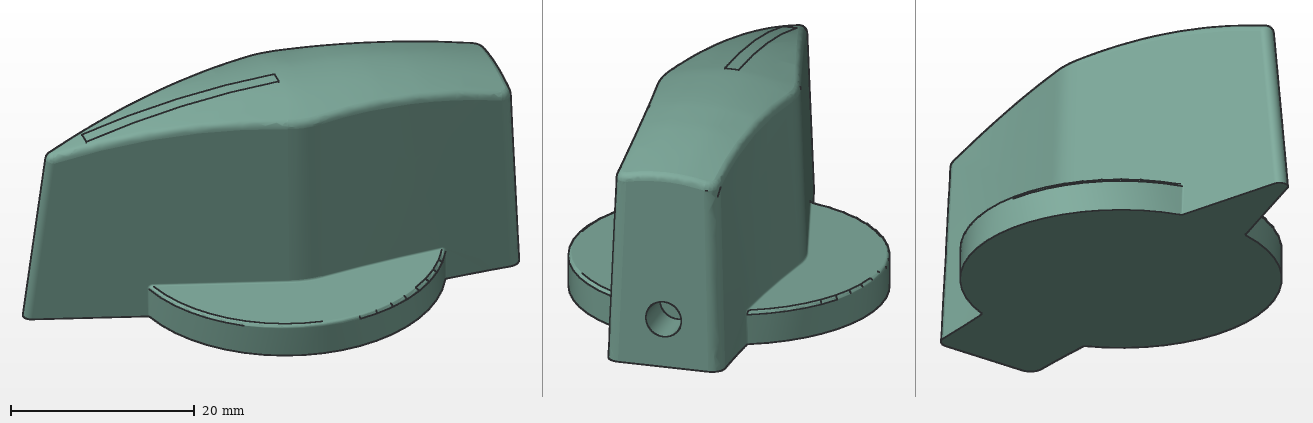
import cadquery as cq
import math

knob_height = 25.0
back_y = 25.05
tip_y = -30.0

disc_diameter = 35.0
disc_height = 3.85
disc_rim_fillet = 0.4
disc_joint_fillet = 0.2

back_half_width = 6.6
shoulder_y = -0.35
side_draft_angle = 2.0
tip_half_angle = 15.3
tip_radius = 0.95
back_corner_radius = 1.5
shoulder_radius = 8.8
top_edge_fillet = 0.95
blank_height = knob_height + 1.1

tip_slope = math.radians(tip_half_angle)
sharp_tip_y = tip_y - tip_radius * (1 / math.sin(tip_slope) - 1)
shoulder_half_width = (shoulder_y - sharp_tip_y) * math.tan(tip_slope)

crown_length_radius = 88.0
crown_cross_radius = 22.0
crown_peak_y = 1.75
crown_width = 22.0
crown_axis_z = knob_height - crown_length_radius

screw_hole_diameter = 4.0
screw_hole_z = 5.5
screw_hole_depth = 5.5

strip_width = 1.6
strip_back_y = -1.0
strip_length = 22.0
strip_depth = 0.55


def tapered_blank():
    """Sharp-cornered pointer, drafted on all sides and taller than the crown."""
    flare = shoulder_half_width - back_half_width
    run = back_y - shoulder_y
    flank_radius = (run**2 + flare**2) / (2 * flare)
    half_turn = math.asin(run / flank_radius) / 2
    mid_x = back_half_width + flank_radius * (1 - math.cos(half_turn))
    mid_y = back_y - flank_radius * math.sin(half_turn)
    return (
        cq.Workplane("XY")
        .moveTo(0, sharp_tip_y)
        .lineTo(shoulder_half_width, shoulder_y)
        .threePointArc((mid_x, mid_y), (back_half_width, back_y))
        .lineTo(-back_half_width, back_y)
        .threePointArc((-mid_x, mid_y), (-shoulder_half_width, shoulder_y))
        .close()
        .extrude(blank_height, taper=side_draft_angle)
    )


def rising_edges(solid, y):
    """Upright edges of the blank whose middle lies close to the given Y."""
    reach = 3.3
    low = (-crown_width, y - reach, blank_height * 0.4)
    high = (crown_width, y + reach, blank_height * 0.6)
    return solid.edges(cq.selectors.BoxSelector(low, high))


def crown():
    """Solid of revolution whose upper side is the doubly curved top surface."""
    half_width = crown_width / 2
    drop = crown_cross_radius - math.sqrt(crown_cross_radius**2 - half_width**2)
    return (
        cq.Workplane("XZ", origin=(0, crown_peak_y, 0))
        .moveTo(-half_width, crown_axis_z)
        .lineTo(-half_width, knob_height - drop)
        .threePointArc((0, knob_height), (half_width, knob_height - drop))
        .lineTo(half_width, crown_axis_z)
        .close()
        .revolve(360, (0, crown_axis_z, 0), (1, crown_axis_z, 0))
    )


def handle():
    """Drafted pointer with rounded corners and a crowned, rounded-over top."""
    pointer = tapered_blank()
    pointer = rising_edges(pointer, tip_y).fillet(tip_radius)
    pointer = rising_edges(pointer, shoulder_y).fillet(shoulder_radius)
    pointer = rising_edges(pointer, back_y).fillet(back_corner_radius)
    pointer = pointer.intersect(crown())
    return pointer.faces(">Z").edges().fillet(top_edge_fillet)


def disc():
    """Round base flange with a rounded upper rim."""
    return (
        cq.Workplane("XY")
        .circle(disc_diameter / 2)
        .extrude(disc_height)
        .faces(">Z")
        .edges()
        .fillet(disc_rim_fillet)
    )


def handle_on_disc():
    """Handle and disc in one piece, with a small fillet all along their joint."""
    joined = handle().union(disc())
    low = (-shoulder_half_width, -disc_diameter / 2, disc_height * 0.3)
    high = (shoulder_half_width, disc_diameter / 2, disc_height * 1.1)
    return joined.edges(cq.selectors.BoxSelector(low, high)).fillet(disc_joint_fillet)


def screw_hole():
    """Blind round bore running forward from the back face."""
    return (
        cq.Workplane("XZ", origin=(0, back_y, screw_hole_z))
        .circle(screw_hole_diameter / 2)
        .extrude(screw_hole_depth)
    )


def strip_seat():
    """Column over the strip's footprint, cut off at a floor parallel to the crown."""
    column = (
        cq.Workplane("XY")
        .center(0, strip_back_y - strip_length / 2)
        .rect(strip_width, strip_length)
        .extrude(blank_height)
    )
    return column.cut(crown().translate((0, 0, -strip_depth)))


def knob():
    """Main body: handle and disc with the strip's recess and the set-screw hole."""
    return handle_on_disc().cut(strip_seat()).cut(screw_hole())


def indicator_strip():
    """Thin inlay that fills its recess up to the crown surface."""
    return strip_seat().intersect(crown())


knob_body = knob()
strip_body = indicator_strip()

result = cq.Compound.makeCompound([knob_body.solids().val(), strip_body.solids().val()])